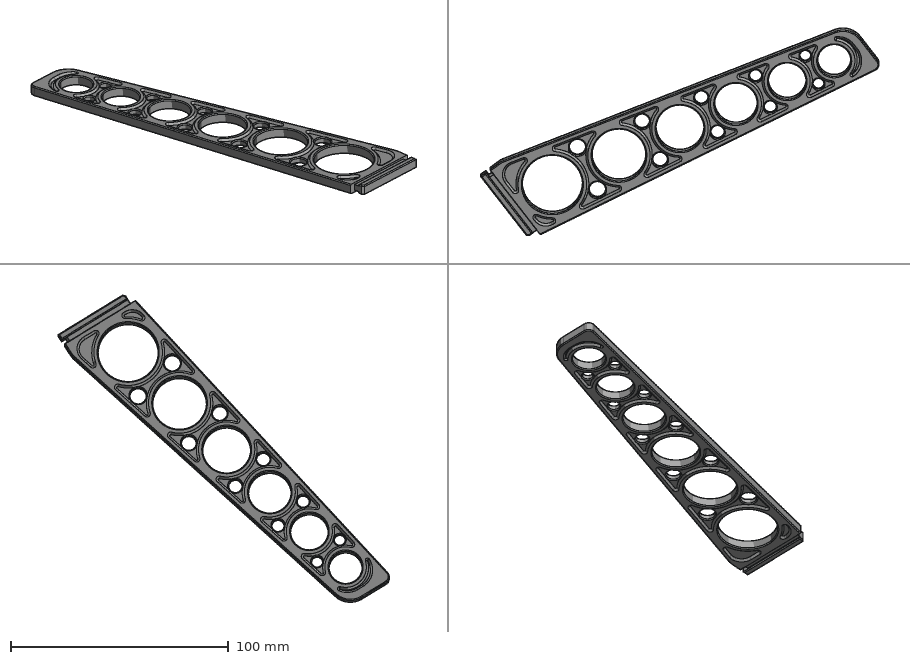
import cadquery as cq
import math

THICKNESS = 5.0
BODY_LENGTH = 173.7
BODY_TOP = 68.8
LOWER_ANGLE = 10.0
UPPER_ANGLE = 15.0
LOWER_CORNER_RADIUS = 3.0
UPPER_CORNER_RADIUS = 10.0
EDGE_CHAMFER = 0.5

HOLE_COUNT = 6
FIRST_HOLE_X = 16.0
ROW_LENGTH = 142.4
HOLE_GAP = 7.5
ZONE_TO_EDGE = 1.33

POCKET_DEPTH = 1.0
RIM = 2.0
LEFT_RIM = 4 * POCKET_DEPTH
LEFT_POCKET_CORNER_RADIUS = 8.0
RIGHT_POCKET_CORNER_RADIUS = 5.4
POCKET_TIP_RADIUS = 0.5
SMALL_HOLE_MARGIN = 0.4

RAIL_LENGTH = 3.0
RAIL_START = 179.0 - RAIL_LENGTH
RAIL_BOTTOM = 32.8
RAIL_CORNER_CHAMFER = 1.0
TONGUE_THICKNESS = THICKNESS - 2 * POCKET_DEPTH
TONGUE_TOP = 66.8
TONGUE_CHAMFER = 1.0

ROW_ANGLE = (LOWER_ANGLE + UPPER_ANGLE) / 2
WEDGE_SINE = math.sin(math.radians((UPPER_ANGLE - LOWER_ANGLE) / 2))
ZONE_RATIO = (1 + WEDGE_SINE) / (1 - WEDGE_SINE)
FIRST_ZONE = ROW_LENGTH * WEDGE_SINE / (ZONE_RATIO ** (HOLE_COUNT - 1) - 1)
LOWER_SLOPE = math.tan(math.radians(LOWER_ANGLE))
LOWER_COS = math.cos(math.radians(LOWER_ANGLE))
UPPER_SLOPE = math.tan(math.radians(UPPER_ANGLE))
UPPER_COS = math.cos(math.radians(UPPER_ANGLE))
TOP = THICKNESS / 2
FLOOR = TOP - POCKET_DEPTH
FLOOR_INSET = RIM + POCKET_DEPTH

EDGE_DISTANCE = FIRST_ZONE + ZONE_TO_EDGE
FIRST_HOLE_Y = (
    LOWER_CORNER_RADIUS
    + (FIRST_HOLE_X - LOWER_CORNER_RADIUS) * LOWER_SLOPE
    + (EDGE_DISTANCE - LOWER_CORNER_RADIUS) / LOWER_COS
)


def big_hole(index):
    """Centre x, centre y and radius of one hole of the row."""
    zone = FIRST_ZONE * ZONE_RATIO**index
    along_row = (zone - FIRST_ZONE) / WEDGE_SINE
    x = FIRST_HOLE_X + along_row * math.cos(math.radians(ROW_ANGLE))
    y = FIRST_HOLE_Y + along_row * math.sin(math.radians(ROW_ANGLE))
    return x, y, zone - HOLE_GAP / 2


BIG_HOLES = [big_hole(i) for i in range(HOLE_COUNT)]


def lower_y(x, inset=0.0):
    """Height of the lower long edge at x, moved into the plate by inset."""
    return FIRST_HOLE_Y + (x - FIRST_HOLE_X) * LOWER_SLOPE - (EDGE_DISTANCE - inset) / LOWER_COS


def upper_y(x, inset=0.0):
    """Height of the upper long edge at x, moved into the plate by inset."""
    return FIRST_HOLE_Y + (x - FIRST_HOLE_X) * UPPER_SLOPE + (EDGE_DISTANCE - inset) / UPPER_COS


def small_hole(index, side):
    """Centre and radius of the hole beside big holes index and index + 1 (side 1 upper, -1 lower).

    It is concentric with the circle that touches both round pocket floor edges and the
    straight one. With t the distance along the long edge from the first big hole, touching
    each round edge gives the circle's radius as a parabola in t; they are equal at the answer.
    """
    (x1, y1, r1), (x2, y2, r2) = BIG_HOLES[index : index + 2]
    angle = math.radians(UPPER_ANGLE if side > 0 else LOWER_ANGLE)
    along = (math.cos(angle), math.sin(angle))
    span = (x2 - x1) * along[0] + (y2 - y1) * along[1]
    zone_to_floor_line = HOLE_GAP / 2 + ZONE_TO_EDGE - FLOOR_INSET
    base = (zone_to_floor_line - FLOOR_INSET) / 2
    bend1 = 0.5 / (2 * r1 + FLOOR_INSET + zone_to_floor_line)
    bend2 = 0.5 / (2 * r2 + FLOOR_INSET + zone_to_floor_line)
    t = span / (1 + math.sqrt(bend1 / bend2))
    touching_radius = bend1 * t**2 + base
    out = r1 + zone_to_floor_line - touching_radius
    x = x1 + t * along[0] - side * out * along[1]
    y = y1 + t * along[1] + side * out * along[0]
    return x, y, touching_radius - SMALL_HOLE_MARGIN


def make_body():
    """Wedge-shaped plate, chamfered all round except at the wide end."""
    top_bend_x = FIRST_HOLE_X + (BODY_TOP - upper_y(FIRST_HOLE_X)) / UPPER_SLOPE
    low_corner = (0, lower_y(0))
    high_corner = (0, upper_y(0))
    top_bend = (top_bend_x, BODY_TOP)
    outline = [low_corner, (BODY_LENGTH, lower_y(BODY_LENGTH)), (BODY_LENGTH, BODY_TOP), top_bend, high_corner]
    body = cq.Workplane("XY").polyline(outline).close().extrude(TOP, both=True)
    for corner, radius in (
        (low_corner, LOWER_CORNER_RADIUS),
        (high_corner, UPPER_CORNER_RADIUS),
        (top_bend, UPPER_CORNER_RADIUS),
    ):
        body = body.edges(cq.selectors.NearestToPointSelector((*corner, 0))).fillet(radius)
    return body.faces("|Z").edges("not(>X)").chamfer(EDGE_CHAMFER)


def make_rail():
    """Rail standing off the wide end on a thinner tongue."""
    tongue = (
        cq.Workplane("XY")
        .box(RAIL_START - BODY_LENGTH, TONGUE_TOP - RAIL_BOTTOM, TONGUE_THICKNESS, centered=(False, False, True))
        .edges("|X and >Y")
        .chamfer(TONGUE_CHAMFER)
        .translate((BODY_LENGTH, RAIL_BOTTOM, 0))
    )
    rail = (
        cq.Workplane("XY")
        .box(RAIL_LENGTH, BODY_TOP - RAIL_BOTTOM, THICKNESS, centered=(False, False, True))
        .edges("|Z and >X and <Y")
        .chamfer(RAIL_CORNER_CHAMFER)
        .faces("|Z")
        .edges()
        .chamfer(EDGE_CHAMFER)
        .translate((RAIL_START, RAIL_BOTTOM, 0))
    )
    return tongue.union(rail)


def floor_strip(x_start, x_end):
    """Block on the pocket floor between the insets of the two long edges."""
    outline = [
        (x_start, lower_y(x_start, FLOOR_INSET)),
        (x_end, lower_y(x_end, FLOOR_INSET)),
        (x_end, upper_y(x_end, FLOOR_INSET)),
        (x_start, upper_y(x_start, FLOOR_INSET)),
    ]
    return cq.Workplane("XY", origin=(0, 0, FLOOR)).polyline(outline).close().extrude(POCKET_DEPTH)


def clear_of_holes(strip, holes):
    """Strip without the raised round islands that surround the holes."""
    for x, y, radius in holes:
        island = cq.Workplane("XY", origin=(x, y, FLOOR)).circle(radius + FLOOR_INSET).extrude(POCKET_DEPTH)
        strip = strip.cut(island)
    return strip


def round_tips(strip, holes):
    """Round the upright edges where a straight wall runs into an island."""

    def is_tip(edge):
        center = edge.Center()
        gaps = [math.hypot(center.x - x, center.y - y) - radius - FLOOR_INSET for x, y, radius in holes]
        return min(abs(gap) for gap in gaps) < 0.002

    tips = [edge for edge in strip.edges("|Z").vals() if is_tip(edge)]
    return strip.newObject(tips).fillet(POCKET_TIP_RADIUS)


def sloped_cutters(strip):
    """Pocket cutters that widen at 45 degrees from each floor of the strip to the top."""
    rise = cq.Vector(0, 0, POCKET_DEPTH)
    return [cq.Solid.extrudeLinear(wire, [], rise, -45) for wire in strip.faces("<Z").wires().vals()]


def cut_pockets(body):
    """Pockets between neighbouring holes and at both ends of the row, on both faces."""
    first, last = BIG_HOLES[:1], BIG_HOLES[-1:]
    left = floor_strip(LEFT_RIM + POCKET_DEPTH, first[0][0])
    left = left.edges("|Z and <X").fillet(LEFT_POCKET_CORNER_RADIUS)
    right = floor_strip(last[0][0], BODY_LENGTH - FLOOR_INSET)
    right = right.edges("|Z and >X").fillet(RIGHT_POCKET_CORNER_RADIUS)
    cutters = sloped_cutters(clear_of_holes(left, first))
    cutters += sloped_cutters(round_tips(clear_of_holes(right, last), last))
    for i in range(HOLE_COUNT - 1):
        pair = BIG_HOLES[i : i + 2]
        between = floor_strip(pair[0][0], pair[1][0])
        cutters += sloped_cutters(round_tips(clear_of_holes(between, pair), pair))
    for cutter in cutters:
        body = body.cut(cq.Workplane(cutter)).cut(cq.Workplane(cutter.mirror("XY")))
    return body


def bore(x, y, radius, rim_height):
    """Through-hole cutter, chamfered where it meets the surfaces at +-rim_height."""
    wide = radius + EDGE_CHAMFER
    neck = rim_height - EDGE_CHAMFER
    half_profile = [(wide, TOP), (wide, rim_height), (radius, neck)]
    if rim_height == TOP:
        half_profile = half_profile[1:]
    mirrored = [(r, -z) for r, z in reversed(half_profile)]
    profile = [(0, TOP)] + half_profile + mirrored + [(0, -TOP)]
    return cq.Workplane("XZ").polyline(profile).close().revolve(360, (0, 0), (0, 1)).translate((x, y, 0))


result = cut_pockets(make_body().union(make_rail()))
for x, y, radius in BIG_HOLES:
    result = result.cut(bore(x, y, radius, TOP))
for i in range(HOLE_COUNT - 1):
    for side in (1, -1):
        result = result.cut(bore(*small_hole(i, side), FLOOR))